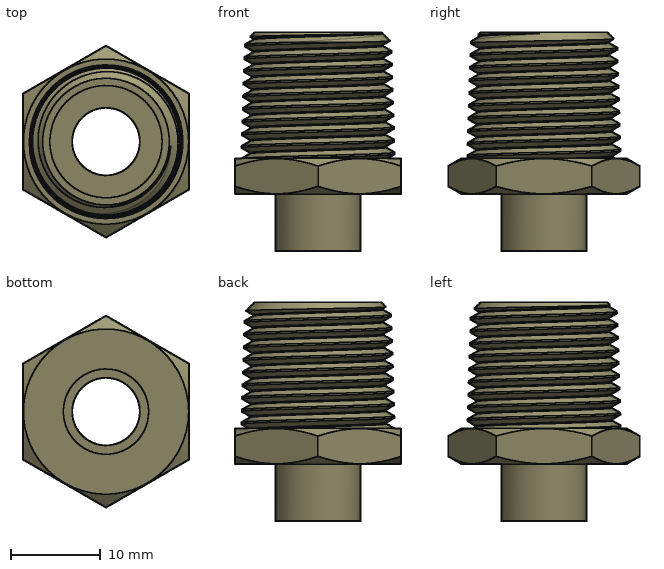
import cadquery as cq
import math

stub_diameter = 9.5
stub_length = 6.35
hex_across_flats = 18.5
hex_thickness = 3.97
thread_length = 14.05

through_bore_diameter = 7.5
wide_bore_diameter = 12.5
wide_bore_depth = thread_length

hex_chamfer_angle = math.radians(30)
hex_face_diameter = 18.4

inch = 25.4
threads_per_inch = 18
pitch = inch / threads_per_inch
taper_angle = math.atan(1 / 32)
flank_angle = math.radians(30)
crest_base_radius = 8.57
thread_depth = 0.93
root_flat = 0.13
first_crest_height = 0.57
groove_overrun = 0.05
end_chamfer_radius = 7.05

hex_bottom = stub_length
hex_top = hex_bottom + hex_thickness
part_top = hex_top + thread_length


def make_stub():
    return cq.Workplane("XY").circle(stub_diameter / 2).extrude(hex_bottom)


def make_hexagon():
    """Hexagon with flats facing +X and -X, its corners turned to a cone on both faces."""
    across_corners = hex_across_flats / math.cos(math.pi / 6)
    prism = (
        cq.Workplane("XY", origin=(0, 0, hex_bottom))
        .polygon(6, across_corners)
        .extrude(hex_thickness)
        .rotate((0, 0, 0), (0, 0, 1), 30)
    )
    face_radius = hex_face_diameter / 2
    rim_radius = across_corners / 2
    chamfer_height = (rim_radius - face_radius) * math.tan(hex_chamfer_angle)
    turned_envelope = (
        cq.Workplane("XZ")
        .moveTo(0, hex_bottom)
        .lineTo(face_radius, hex_bottom)
        .lineTo(rim_radius, hex_bottom + chamfer_height)
        .lineTo(rim_radius, hex_top - chamfer_height)
        .lineTo(face_radius, hex_top)
        .lineTo(0, hex_top)
        .close()
        .revolve(360, (0, 0, 0), (0, 1, 0))
    )
    return prism.intersect(turned_envelope)


def crest_radius(height):
    """Crest cone radius at a height above the hexagon."""
    return crest_base_radius - height * math.tan(taper_angle)


def make_thread_blank():
    """Tapered plug at crest size, with a 45 degree chamfer at the free end."""
    taper = math.tan(taper_angle)
    chamfer_size = (crest_radius(thread_length) - end_chamfer_radius) / (1 - taper)
    chamfer_start = thread_length - chamfer_size
    return (
        cq.Workplane("XZ")
        .moveTo(0, hex_top)
        .lineTo(crest_base_radius, hex_top)
        .lineTo(crest_radius(chamfer_start), hex_top + chamfer_start)
        .lineTo(end_chamfer_radius, part_top)
        .lineTo(0, part_top)
        .close()
        .revolve(360, (0, 0, 0), (0, 1, 0))
    )


def make_groove_cutter():
    """Helical trapezoid that follows the taper, running past both ends of the thread."""
    turns_above = math.ceil(thread_length / pitch)
    turns_below = 2
    turns = turns_above + turns_below
    start_height = first_crest_height + pitch / 2 + turns_above * pitch
    outer_half_width = root_flat / 2 + (thread_depth + groove_overrun) * math.tan(flank_angle)

    def helix(depth, offset):
        height = start_height + offset
        edge_curve = cq.Wire.makeHelix(
            pitch / math.cos(taper_angle),
            turns * pitch,
            crest_radius(height) - depth,
            angle=math.degrees(taper_angle),
        )
        flipped = edge_curve.rotate(cq.Vector(0, 0, 0), cq.Vector(1, 0, 0), 180)
        return flipped.translate(cq.Vector(0, 0, hex_top + height))

    corners = [
        helix(thread_depth, -root_flat / 2),
        helix(thread_depth, root_flat / 2),
        helix(-groove_overrun, outer_half_width),
        helix(-groove_overrun, -outer_half_width),
    ]
    faces = []
    for index, curve in enumerate(corners):
        faces.append(cq.Face.makeRuledSurface(corners[index - 1], curve))
    for position in (0, 1):
        end_points = [curve.positionAt(position) for curve in corners]
        faces.append(cq.Face.makeFromWires(cq.Wire.makePolygon(end_points, close=True)))
    return cq.Solid.makeSolid(cq.Shell.makeShell(faces)).fix()


def cut_bores(body):
    through_bore = cq.Workplane("XY").circle(through_bore_diameter / 2).extrude(part_top)
    wide_bore = (
        cq.Workplane("XY", origin=(0, 0, part_top - wide_bore_depth))
        .circle(wide_bore_diameter / 2)
        .extrude(wide_bore_depth)
    )
    return body.cut(through_bore).cut(wide_bore)


thread = make_thread_blank().cut(cq.Workplane(make_groove_cutter()))
body = make_stub().union(make_hexagon()).union(thread)
result = cq.Workplane(cut_bores(body).solids().val())